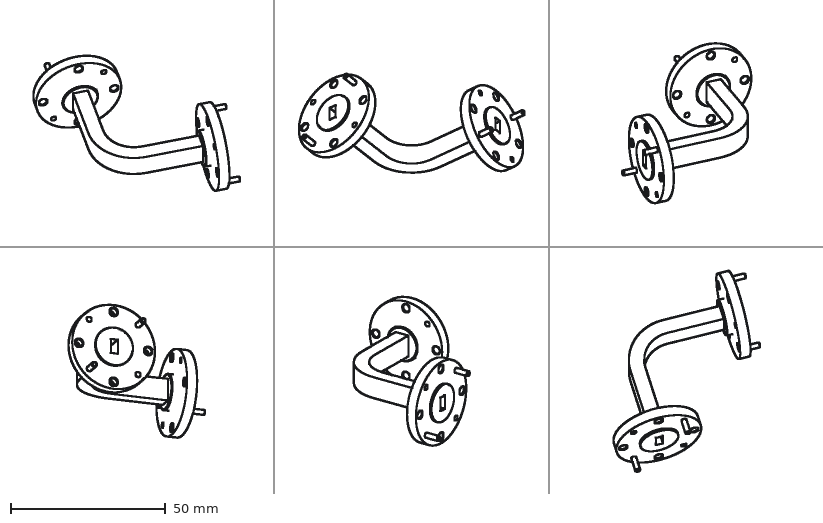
import cadquery as cq
import math

leg_length = 38.1
bend_radius = 12.7
bore_width = 2.4
bore_height = 4.75
wall = 1.3
tube_width = bore_width + 2 * wall
tube_height = bore_height + 2 * wall

flange_diameter = 28.6
flange_thickness = 3.5
face_diameter = 12.8
face_height = 0.7
hub_diameter = 11.9
hub_length = 2.2
hub_chamfer = 0.3
hub_fillet = 0.2
flange_back = face_height + flange_thickness
hub_end = flange_back + hub_length

hole_circle_radius = 11.9
bolt_hole_radius = 1.25
bolt_hole_chamfer = 0.2
bolt_hole_angles = (0, 90, 180, 270)
alignment_hole_radius = 0.85
alignment_hole_angles = (45, 225)
pin_radius = 0.85
pin_chamfer = 0.2
pin_angles = (135, 315)
pin_reach_x = 3.95
pin_reach_y = 4.3


def bent_bar(width, height):
    """Rectangular bar following the bent centreline from mating face to mating face."""
    path = (
        cq.Workplane("XY")
        .moveTo(-leg_length, 0)
        .lineTo(-bend_radius, 0)
        .radiusArc((0, bend_radius), -bend_radius)
        .lineTo(0, leg_length)
    )
    return cq.Workplane("YZ", origin=(-leg_length, 0, 0)).rect(width, height).sweep(path)


def turned(profile):
    """Solid of revolution about Z from a closed (radius, height) profile drawn in XZ."""
    return profile.close().revolve(360, (0, 0, 0), (0, 1, 0))


def flange_blank():
    """Raised face, flange disc and hub."""
    face_radius = face_diameter / 2
    flange_radius = flange_diameter / 2
    hub_radius = hub_diameter / 2
    return turned(
        cq.Workplane("XZ")
        .lineTo(face_radius, 0)
        .lineTo(face_radius, face_height)
        .lineTo(flange_radius, face_height)
        .lineTo(flange_radius, flange_back)
        .lineTo(hub_radius + hub_fillet, flange_back)
        .radiusArc((hub_radius, flange_back + hub_fillet), hub_fillet)
        .lineTo(hub_radius, hub_end - hub_chamfer)
        .lineTo(hub_radius - hub_chamfer, hub_end)
        .lineTo(0, hub_end)
    )


def bolt_hole_cutter():
    """Through hole with a chamfered rim on both flange faces."""
    rim_radius = bolt_hole_radius + bolt_hole_chamfer
    return turned(
        cq.Workplane("XZ", origin=(0, 0, face_height))
        .lineTo(rim_radius, 0)
        .lineTo(bolt_hole_radius, bolt_hole_chamfer)
        .lineTo(bolt_hole_radius, flange_thickness - bolt_hole_chamfer)
        .lineTo(rim_radius, flange_thickness)
        .lineTo(0, flange_thickness)
    )


def alignment_hole_cutter():
    """Plain through hole that takes a pin of the facing flange."""
    return cq.Workplane("XY").circle(alignment_hole_radius).extrude(flange_back)


def alignment_pin(reach):
    """Pin flush with the back of the flange, chamfered at its free end."""
    pin = cq.Workplane("XY", origin=(0, 0, -reach)).circle(pin_radius).extrude(reach + flange_back)
    return pin.faces("<Z").chamfer(pin_chamfer)


def on_hole_circle(shape, angle):
    """Shape moved from the flange axis out to the hole circle at an angle in degrees."""
    x = hole_circle_radius * math.cos(math.radians(angle))
    y = hole_circle_radius * math.sin(math.radians(angle))
    return shape.translate((x, y, 0))


def flange(mating_plane, pin_reach):
    """Complete flange, its mating face on a plane whose normal points along the tube."""
    body = flange_blank()
    for angle in bolt_hole_angles:
        body = body.cut(on_hole_circle(bolt_hole_cutter(), angle))
    for angle in alignment_hole_angles:
        body = body.cut(on_hole_circle(alignment_hole_cutter(), angle))
    for angle in pin_angles:
        body = body.union(on_hole_circle(alignment_pin(pin_reach), angle))
    return body.val().moved(cq.Location(mating_plane))


mating_plane_x = cq.Plane(origin=(-leg_length, 0, 0), xDir=(0, 1, 0), normal=(1, 0, 0))
mating_plane_y = cq.Plane(origin=(0, leg_length, 0), xDir=(1, 0, 0), normal=(0, -1, 0))

result = bent_bar(tube_width, tube_height)
result = result.union(cq.Workplane(flange(mating_plane_x, pin_reach_x)))
result = result.union(cq.Workplane(flange(mating_plane_y, pin_reach_y)))
result = result.cut(bent_bar(bore_width, bore_height))